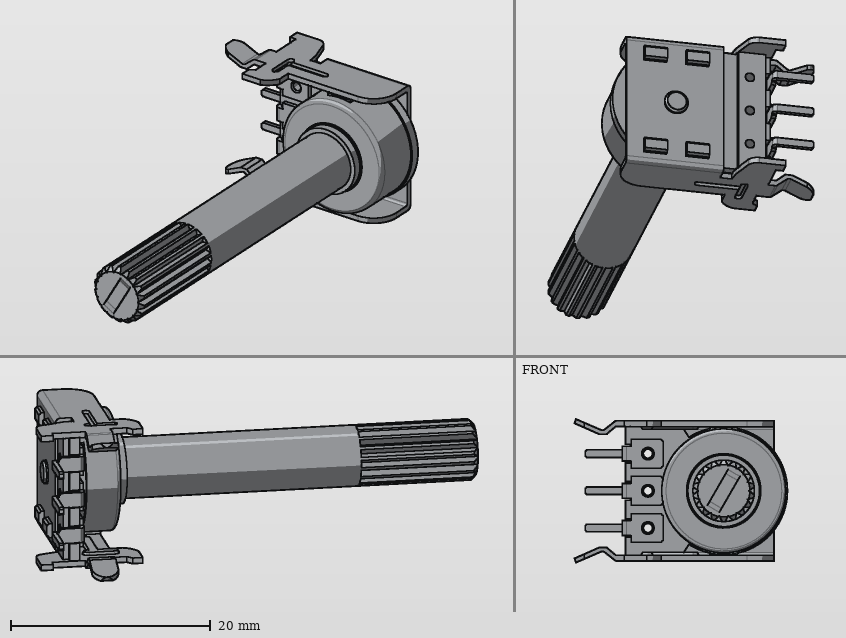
import cadquery as cq
import math


shaft_radius = 3.1
shaft_tip_y = -37.0
spline_length = 11.95
spline_count = 18
spline_root_radius = 2.55
spline_groove_half_width = 0.35
tip_chamfer = 0.45
tip_slot_length = 4.15
tip_slot_width = 1.4
tip_slot_depth = 0.15
tip_slot_end_run = 0.45
tip_slot_angle = 60

housing_radius = 6.2
housing_front_fillet = 0.4
bushing_radius = 3.6
bushing_front_y = -1.05
bushing_collar_radius = 3.73
bushing_collar_length = 0.2
window_radius = 5.8
window_front_y = 3.55
window_height = 8.45
pad_width = 2.75
pad_top_z = 6.35

base_front_y = 4.9
base_rear_y = 5.95
base_radius = 6.4
base_left_x = -9.85
base_rear_block_right_x = -6.45
base_end_angle = 57
base_notch_width = 1.85
base_notch_depth = 0.45

terminal_pitch = 3.73
terminal_heights = (-terminal_pitch, 0, terminal_pitch)
terminal_sheet = 0.45
terminal_plate_left_x = -9.25
terminal_plate_length = 3.17
terminal_plate_height = 2.9
terminal_corner_chamfer = 0.25
terminal_hole_x = -7.6
terminal_hole_radius = 0.45
terminal_hole_chamfer = 0.16
neck_width = 1.5
neck_rear_y = 7.1
neck_corner_chamfer = 0.25
strap_left_x = -10.15
terminal_bend_radius = 0.4
pin_width = 0.8
pin_tip_x = -13.9
pin_rear_y = 7.77
pin_tip_chamfer = 0.2

overall_height = 14.4
sheet = 0.6
flange_outer_z = 7.05
flange_inner_z = flange_outer_z - sheet
bracket_right_x = 5.05
back_left_x = -4.9
back_rear_y = base_rear_y + sheet
bend_inner_radius = 0.28
bend_outer_radius = 0.55
flange_front_y = 1.25
flange_corner_radius = 2.75
arm_rear_y = 9.0
arm_front_y = -1.45
arm_right_x = -6.25
arm_left_x = -10.7
arm_step_y = 7.77
arm_root_x = -10.0
arm_rear_corner = ((-7.95, arm_rear_y), (-7.35, 8.8), (-7.0, 8.3))
arm_front_corner = ((arm_right_x, -0.2), (-6.9, -1.0), (-7.75, arm_front_y))
foot_shoulder_y = -0.4
foot_inner_x = -9.4
foot_inner_y = 0.05
notch_left_x = -6.1
notch_rear_y = 6.0
notch_front_y = 4.88
tab_rear_y = 4.4
tab_front_y = 1.75
tab_tip_x = -14.95
tab_round_start_x = -14.0
tab_root_bend_x = -10.8
tab_crest_x = -12.1
tab_crest_z = 6.03
tab_valley_left_x = -12.45
tab_valley_right_x = -11.75
tab_valley_z = 5.65
tab_tip_upper_x = -14.8
tab_tip_upper_z = overall_height / 2
tab_tip_lower_z = 6.75
tab_bend_radius = 0.35

bead_ridge_width = 1.2
bead_depth = 0.28
bead_x = -7.7
bead_rear_y = 4.05
bead_front_y = 0.75
bead_leg_y = 3.1
bead_leg_end_x = -2.7
bead_groove_width = 0.75
bead_taper = 30

spot_height = 0.55
spot_x = 2.15
spot_z = 5.15
spot_width = 2.3
spot_depth = 1.45
spot_chamfer = 0.25
hub_radius = 1.2
hub_height = 0.4


def box(x_range, y_range, z_range):
    """Block between the given limits along X, Y and Z."""
    size = [high - low for low, high in (x_range, y_range, z_range)]
    return cq.Workplane("XY").box(*size, centered=False).translate((x_range[0], y_range[0], z_range[0]))


def disc(radius, front_y, rear_y):
    """Cylinder on the shaft axis."""
    return cq.Workplane("XZ", origin=(0, rear_y, 0)).circle(radius).extrude(rear_y - front_y)


def both_sides(shape):
    """Shape together with its mirror image below the XY plane."""
    return shape.union(shape.mirror("XY"))


def make_shaft():
    """Round shaft with a grooved spline end."""
    shaft = disc(shaft_radius, shaft_tip_y, 0).faces("<Y").chamfer(tip_chamfer)
    groove = (
        cq.Workplane("XZ", origin=(0, shaft_tip_y + spline_length, 0))
        .moveTo(spline_root_radius, 0)
        .lineTo(shaft_radius + tip_chamfer, 2 * spline_groove_half_width)
        .lineTo(shaft_radius + tip_chamfer, -2 * spline_groove_half_width)
        .close()
        .extrude(spline_length)
    )
    for index in range(spline_count):
        shaft = shaft.cut(groove.rotate((0, 0, 0), (0, 1, 0), index * 360 / spline_count))

    mouth = tip_slot_length / 2
    floor = mouth - tip_slot_end_run
    slot = (
        cq.Workplane("XY")
        .polyline([
            (-mouth, shaft_tip_y),
            (mouth, shaft_tip_y),
            (floor, shaft_tip_y + tip_slot_depth),
            (-floor, shaft_tip_y + tip_slot_depth),
        ])
        .close()
        .extrude(tip_slot_width / 2, both=True)
        .rotate((0, 0, 0), (0, 1, 0), -tip_slot_angle)
    )
    return shaft.cut(slot)


def make_housing():
    """Round housing with a shallow side window, flange pads and the bushing."""
    housing = disc(housing_radius, 0, base_front_y).faces("<Y").edges().fillet(housing_front_fillet)
    half_window = window_height / 2
    window = box((-housing_radius, 0), (window_front_y, base_front_y), (-half_window, half_window))
    housing = housing.cut(window.cut(disc(window_radius, window_front_y, base_front_y)))

    pad = box((-pad_width / 2, pad_width / 2), (flange_front_y, base_front_y), (0, pad_top_z))
    bushing = disc(bushing_radius, bushing_front_y, 0)
    collar = disc(bushing_collar_radius, -bushing_collar_length, 0)
    return housing.union(both_sides(pad)).union(bushing).union(collar)


def make_base():
    """Insulating base: round behind the housing, with a board that carries the terminals."""
    end_x = -flange_inner_z / math.tan(math.radians(base_end_angle))
    board = (
        cq.Workplane("XZ", origin=(0, base_rear_y, 0))
        .polyline([
            (base_left_x, flange_inner_z),
            (end_x, flange_inner_z),
            (0, 0),
            (end_x, -flange_inner_z),
            (base_left_x, -flange_inner_z),
        ])
        .close()
        .extrude(base_rear_y - base_front_y)
    )
    rear_block_x = (terminal_plate_left_x, base_rear_block_right_x)
    rear_block = box(rear_block_x, (base_rear_y, back_rear_y), (-flange_inner_z, flange_inner_z))
    base = disc(base_radius, base_front_y, base_rear_y).union(board).union(rear_block)
    for z in terminal_heights:
        notch_height = (z - base_notch_width / 2, z + base_notch_width / 2)
        notch_x = (base_left_x, base_left_x + base_notch_depth)
        base = base.cut(box(notch_x, (base_front_y, back_rear_y), notch_height))
    return base


def make_terminal():
    """Terminal at Z = 0: a plate on the base front, a strap round its edge and a pin."""
    plate_front_y = base_front_y - terminal_sheet
    plate_right_x = terminal_plate_left_x + terminal_plate_length
    half_plate = terminal_plate_height / 2
    half_neck = neck_width / 2
    half_pin = pin_width / 2
    plate_x = (terminal_plate_left_x, plate_right_x)
    plate = box(plate_x, (plate_front_y, base_front_y), (-half_plate, half_plate))
    plate = plate.edges("|Y and >X").chamfer(terminal_corner_chamfer)
    neck = box((strap_left_x, terminal_plate_left_x), (plate_front_y, base_front_y), (-half_neck, half_neck))
    strap_x = (strap_left_x, strap_left_x + terminal_sheet)
    strap = box(strap_x, (plate_front_y, neck_rear_y), (-half_neck, half_neck))
    strap = strap.edges("|X and >Y").chamfer(neck_corner_chamfer)
    pin_root = box(strap_x, (base_front_y, pin_rear_y), (-half_pin, half_pin))
    pin = box((pin_tip_x, strap_x[1]), (pin_rear_y - terminal_sheet, pin_rear_y), (-half_pin, half_pin))
    pin = pin.edges("|Y and <X").chamfer(pin_tip_chamfer)
    pin = pin.union(pin_root).edges("|Z and >X and >Y").fillet(terminal_bend_radius)
    strap = strap.union(neck).edges("|Z and <X and <Y").fillet(terminal_bend_radius)
    return plate.union(strap).union(pin)


def cut_terminal_hole(body, z):
    """Hole through terminal and base, with a chamfered mouth."""
    front_y = base_front_y - terminal_sheet
    mouth_radius = terminal_hole_radius + terminal_hole_chamfer
    mouth_plane = cq.Workplane("XZ", origin=(terminal_hole_x, front_y, z))
    hole = mouth_plane.circle(terminal_hole_radius).extrude(front_y - back_rear_y)
    mouth = cq.Workplane(cq.Solid.makeCone(
        mouth_radius, terminal_hole_radius, terminal_hole_chamfer,
        pnt=cq.Vector(terminal_hole_x, front_y, z), dir=cq.Vector(0, 1, 0),
    ))
    return body.cut(hole).cut(mouth)


def bead_solid(width, top_z):
    """L-shaped bar with round ends and sloping sides that narrows downward from the given height."""
    plane = cq.Workplane("XY", origin=(0, 0, top_z))
    growth = width - bead_groove_width
    bar_length = bead_rear_y - bead_front_y + growth
    bar_y = (bead_rear_y + bead_front_y) / 2
    bar = plane.center(bead_x, bar_y).slot2D(bar_length, width, 90).extrude(-bead_depth, taper=bead_taper)
    leg_left_x = bead_x - width / 2
    leg_right_x = bead_leg_end_x + growth / 2
    leg_plane = plane.center((leg_left_x + leg_right_x) / 2, bead_leg_y)
    leg = leg_plane.slot2D(leg_right_x - leg_left_x, width).extrude(-bead_depth, taper=bead_taper)
    return bar.union(leg)


def make_flange():
    """Upper flange: flat plate with mounting arm, pressed bead and snap-in tab."""
    corner_x = bracket_right_x - flange_corner_radius
    corner_y = flange_front_y + flange_corner_radius
    diagonal = flange_corner_radius * math.sqrt(0.5)
    plate = (
        cq.Workplane("XY", origin=(0, 0, flange_inner_z))
        .moveTo(arm_left_x, arm_rear_y)
        .lineTo(*arm_rear_corner[0])
        .threePointArc(*arm_rear_corner[1:])
        .lineTo(arm_right_x, notch_rear_y)
        .lineTo(notch_left_x, notch_front_y)
        .lineTo(back_left_x, notch_front_y)
        .lineTo(back_left_x, back_rear_y)
        .lineTo(bracket_right_x, back_rear_y)
        .lineTo(bracket_right_x, corner_y)
        .threePointArc((corner_x + diagonal, corner_y - diagonal), (corner_x, flange_front_y))
        .lineTo(arm_right_x, flange_front_y)
        .lineTo(*arm_front_corner[0])
        .threePointArc(*arm_front_corner[1:])
        .lineTo(arm_root_x, arm_front_y)
        .lineTo(arm_root_x, foot_shoulder_y)
        .lineTo(foot_inner_x, foot_inner_y)
        .lineTo(foot_inner_x, tab_front_y)
        .lineTo(arm_root_x, tab_front_y)
        .lineTo(arm_root_x, arm_step_y)
        .lineTo(arm_left_x, arm_step_y)
        .close()
        .extrude(sheet)
    )
    tab = (
        cq.Workplane("XZ", origin=(0, tab_rear_y, 0))
        .polyline([
            (arm_root_x, flange_outer_z),
            (tab_root_bend_x, flange_outer_z),
            (tab_crest_x, tab_crest_z),
            (tab_tip_upper_x, tab_tip_upper_z),
            (tab_tip_x, tab_tip_lower_z),
            (tab_valley_left_x, tab_valley_z),
            (tab_valley_right_x, tab_valley_z),
            (tab_root_bend_x, flange_inner_z),
            (arm_root_x, flange_inner_z),
        ])
        .close()
        .extrude(tab_rear_y - tab_front_y)
    )
    for bend_x, bend_z in ((tab_root_bend_x, flange_outer_z), (tab_crest_x, tab_crest_z)):
        bend_point = (bend_x, (tab_front_y + tab_rear_y) / 2, bend_z)
        tab = tab.edges(cq.selectors.NearestToPointSelector(bend_point)).fillet(tab_bend_radius)
    tab_outline = (
        cq.Workplane("XY")
        .moveTo(arm_root_x, tab_front_y)
        .lineTo(tab_round_start_x, tab_front_y)
        .threePointArc((tab_tip_x, (tab_front_y + tab_rear_y) / 2), (tab_round_start_x, tab_rear_y))
        .lineTo(arm_root_x, tab_rear_y)
        .close()
        .extrude(2 * flange_outer_z)
    )
    flange = plate.union(tab.intersect(tab_outline))
    flange = flange.union(bead_solid(bead_ridge_width, flange_inner_z))
    return flange.cut(bead_solid(bead_groove_width, flange_outer_z))


def make_bracket():
    """Back plate joined to both flanges by rounded bends."""
    back = box((back_left_x, bracket_right_x), (base_rear_y, back_rear_y), (-flange_inner_z, flange_inner_z))
    bracket = back.union(both_sides(make_flange()))
    margin = 0.05
    bends = (
        (back_rear_y, flange_outer_z, bend_outer_radius),
        (base_rear_y, flange_inner_z, bend_inner_radius),
    )
    for bend_y, bend_z, radius in bends:
        for z in (-bend_z, bend_z):
            low = (back_left_x - margin, bend_y - margin, z - margin)
            high = (bracket_right_x + margin, bend_y + margin, z + margin)
            bracket = bracket.edges(cq.selectors.BoxSelector(low, high)).edges("|X").fillet(radius)
    return bracket


def make_rear_spots():
    """Four raised spots and a central hub on the back plate."""
    hub = disc(hub_radius, back_rear_y, back_rear_y + hub_height).faces(">Y").chamfer(spot_chamfer)
    spots = (
        cq.Workplane("XZ", origin=(0, back_rear_y + spot_height, 0))
        .rect(2 * spot_x, 2 * spot_z, forConstruction=True)
        .vertices()
        .rect(spot_width, spot_depth)
        .extrude(spot_height)
        .faces(">Y")
        .edges("|X")
        .chamfer(spot_chamfer)
    )
    return spots.union(hub)


result = make_housing().union(make_shaft()).union(make_base()).union(make_bracket()).union(make_rear_spots())
for terminal_z in terminal_heights:
    result = result.union(make_terminal().translate((0, 0, terminal_z)))
    result = cut_terminal_hole(result, terminal_z)